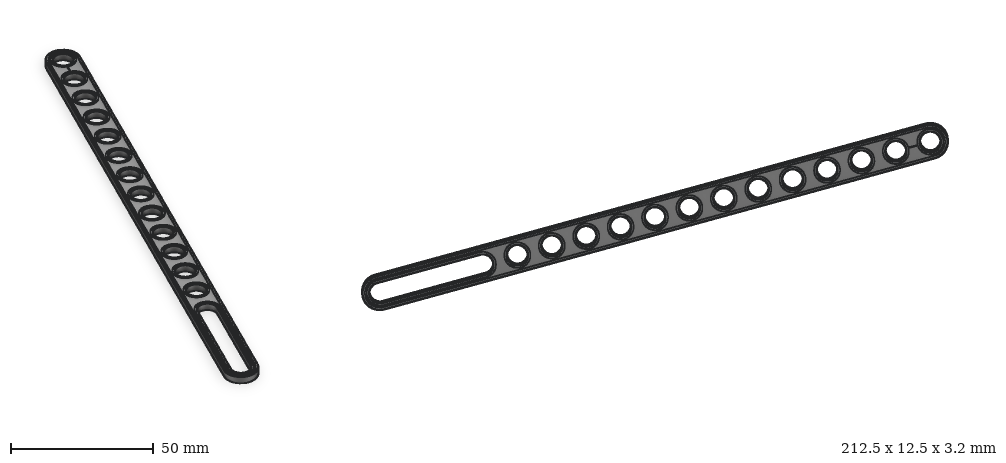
import cadquery as cq

length = 212.5
thickness = 3.2
pitch_count = 17
round_hole_count = 13
opening_width = 7.0
rim_width = 1.0
recess_depth = 0.25
edge_chamfer = 0.32
rib_width = 0.2

pitch = length / pitch_count
width = pitch
rim_diameter = opening_width + 2 * rim_width
recess_bottoms = (0, thickness - recess_depth)


def hole_x(index):
    """X of a hole centre, counted from the -X end of the bar."""
    return -length / 2 + (index + 0.5) * pitch


def openings(opening, bottom, height):
    """Solids filling the round holes and the slot at the given opening width."""
    centres = [(hole_x(i), 0) for i in range(round_hole_count)]
    slot_start = hole_x(round_hole_count)
    slot_end = hole_x(pitch_count - 1)
    plane = cq.Workplane("XY").workplane(offset=bottom)
    holes = plane.pushPoints(centres).circle(opening / 2).extrude(height)
    slot = (
        plane.center((slot_start + slot_end) / 2, 0)
        .slot2D(slot_end - slot_start + opening, opening)
        .extrude(height)
    )
    return holes.add(slot).combine()


def perforated_bar():
    """Full-thickness bar with all openings, every face edge chamfered."""
    bar = cq.Workplane("XY").slot2D(length, width).extrude(thickness)
    bar = bar.cut(openings(opening_width, 0, thickness))
    return bar.faces("<Z or >Z").edges().chamfer(edge_chamfer)


def joining_rib(bottom):
    """Thin rib on the centre line between the first two holes."""
    return (
        cq.Workplane("XY")
        .workplane(offset=bottom)
        .center((hole_x(0) + hole_x(1)) / 2, 0)
        .rect(pitch - opening_width - rim_width, rib_width)
        .extrude(recess_depth)
    )


def face_recess(bottom):
    """Shallow pocket of one face, leaving the rims and the joining rib."""
    pocket = (
        cq.Workplane("XY")
        .workplane(offset=bottom)
        .slot2D(length - 2 * rim_width, width - 2 * rim_width)
        .extrude(recess_depth)
    )
    return pocket.cut(openings(rim_diameter, bottom, recess_depth)).cut(joining_rib(bottom))


strip = perforated_bar()
for bottom in recess_bottoms:
    strip = strip.cut(face_recess(bottom))

result = strip.solids()